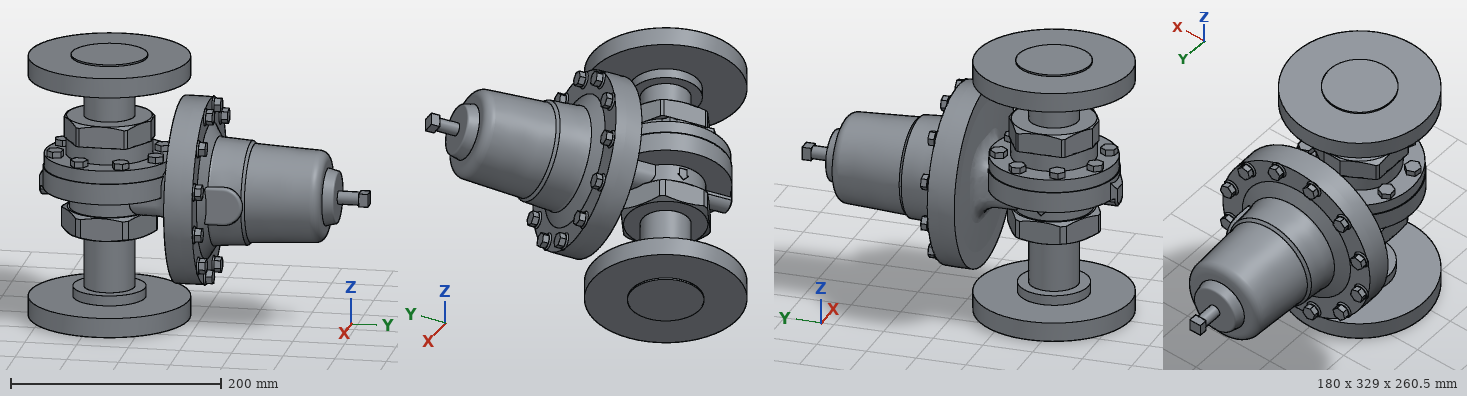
import cadquery as cq
import math


overall_length = 329
overall_height = 260.5
half_height = overall_height / 2
raised_face_height = 1.5
raised_face_radius = 36.5
pipe_flange_diameter = 155.0
pipe_flange_radius = pipe_flange_diameter / 2
pipe_flange_thickness = 19.0
pipe_hub_radius = 35.0
pipe_hub_height = 10.0
pipe_radius = 24.5

upper_nut_top = 69.8
upper_nut_bottom = 48.7
cover_top = 32.3
cover_joint = 19.5
body_rim_bottom = -1.0
lower_nut_top = -20.7
lower_nut_bottom = -44.0
cover_boss_radius = 41.5
cover_radius = 62.2
body_rim_radius = 63.2
body_radius = 38.2

nut_flats = 82.5
lower_nut_corner_radius = 46.0
upper_nut_corner_radius = 46.7
nut_chamfer_height = 2.5
nut_chamfer_width = 6.0
upper_nut_half_depth = 42.0

arrow_proud = 0.3
arrow_top = -3.5
arrow_neck = -10.5
arrow_tip = -16.0
arrow_shaft_half = 4.0
arrow_head_half = 5.5

lug_front = -66.5
lug_back = -33.0
lug_bevel_depth = 1.5
lug_bevel_width = 2.5
lug_half_width = 10.2
lug_top = 11.2
lug_round_radius = 11.0
lug_round_center = -0.5
lug_skirt_half_width = 14.5
lug_skirt_top = 17.5
lug_skirt_back = -59.2
lug_skirt_edge = -61.2

neck_half_width = 29.0
neck_half_height = 22.7
neck_corner_radius = 13.2
neck_fillet = 18.5
root_clearance = 0.5

housing_face_apex = 66.5
housing_front = 69.5
housing_joint = 85.5
housing_back = 96.8
bell_base = 104.7
bell_start = 106.5
bell_step_bottom = 136.5
bell_step_top = 139.5
bell_end = 211.0
collar_end = 222.0
square_start = 242.5
stem_end = overall_length - pipe_flange_radius

housing_radius = 90.0
housing_back_radius = 89.5
housing_face_radius = 73.7
bell_foot_radius = 65.8
bell_base_radius = 52.5
bell_start_radius = 52.0
bell_step_outer_radius = 50.0
bell_step_inner_radius = 47.5
bell_end_radius = 43.8
bell_end_fillet = 9.5
collar_base_radius = 27.5
collar_end_radius = 25.0
collar_fillet = 2.0
stem_square = 13.0
stem_radius = stem_square / 2

bell_pad_face = 54.0
bell_pad_radius = 18.5
bell_pad_center = 119.8
bell_pad_fillet = 2.5

cover_bolt_corners = 16.5
housing_bolt_corners = 14.8
cover_bolt_height = 6.0
cover_bolt_count = 8
cover_bolt_circle = 52.5
housing_bolt_count = 12
housing_bolt_circle = 82.0
seat_height = 1.5
seat_base_radius = 8.5
seat_top_radius = 7.2


def cylinder_z(radius, bottom, top):
    return cq.Workplane("XY").workplane(offset=bottom).circle(radius).extrude(top - bottom)


def cone_z(bottom_radius, bottom, top_radius, top):
    profile = [(0, bottom), (bottom_radius, bottom), (top_radius, top), (0, top)]
    return cq.Workplane("XZ").polyline(profile).close().revolve(360, (0, 0), (0, 1))


def turn_to_y(solid):
    """Tip a solid built along +Z so that it points along +Y."""
    return solid.rotate((0, 0, 0), (1, 0, 0), -90)


def pipe_end():
    """Upper pipe flange with its raised face and hub."""
    flange_top = half_height - raised_face_height
    flange_bottom = flange_top - pipe_flange_thickness
    end = cylinder_z(pipe_flange_radius, flange_bottom, flange_top)
    end = end.union(cylinder_z(raised_face_radius, flange_bottom, half_height))
    return end.union(cylinder_z(pipe_hub_radius, flange_bottom - pipe_hub_height, flange_top))


def union_nut(bottom, top, corner_radius, chamfer_bottom):
    """Hexagon with corners toward -Y and +Y, turned to the corner radius and chamfered on top."""
    corners = nut_flats / math.cos(math.pi / 6)
    nut = cq.Workplane("XY").workplane(offset=bottom).polygon(6, corners).extrude(top - bottom)
    nut = nut.rotate((0, 0, 0), (0, 0, 1), 30)
    blank = cylinder_z(corner_radius, bottom, top)
    blank = blank.faces(">Z").chamfer(nut_chamfer_height, nut_chamfer_width)
    if chamfer_bottom:
        blank = blank.faces("<Z").chamfer(nut_chamfer_height, nut_chamfer_width)
    return nut.intersect(blank)


def upper_nut():
    """Upper nut, cut flat across its -Y and +Y corners."""
    nut = union_nut(upper_nut_bottom, upper_nut_top, upper_nut_corner_radius, False)
    trim = cq.Workplane("XY").box(2 * nut_flats, 2 * upper_nut_half_depth, overall_height)
    return nut.intersect(trim)


def ring_around_z(solid, count, circle_radius):
    """Copies of a solid on a circle, half a pitch away from the axes."""
    pitch = 360 / count
    shifted = solid.translate((circle_radius, 0, 0))
    ring = cq.Workplane("XY")
    for i in range(count):
        ring = ring.add(shifted.rotate((0, 0, 0), (0, 0, 1), (i + 0.5) * pitch))
    return ring.combine()


def hex_head(corners, bottom, top):
    return cq.Workplane("XY").workplane(offset=bottom).polygon(6, corners).extrude(top - bottom)


def cover_bolts():
    """Hex heads with a corner pointing away from the pipe axis."""
    head = hex_head(cover_bolt_corners, cover_top, cover_top + cover_bolt_height)
    return ring_around_z(head, cover_bolt_count, cover_bolt_circle)


def housing_bolts():
    """Hex heads with a flat facing outward, each on a conical seat, built along +Z."""
    seat_top = housing_back + seat_height
    seat = cone_z(seat_base_radius, housing_back, seat_top_radius, seat_top)
    head = hex_head(housing_bolt_corners, seat_top, bell_base).rotate((0, 0, 0), (0, 0, 1), 30)
    return ring_around_z(seat.union(head), housing_bolt_count, housing_bolt_circle)


def valve_body():
    """Body, cover and their bolts around the pipe axis."""
    body = cylinder_z(body_radius, lower_nut_top, cover_joint)
    body = body.union(cylinder_z(body_rim_radius, body_rim_bottom, cover_joint))
    body = body.union(cylinder_z(cover_radius, cover_joint, cover_top))
    body = body.union(cylinder_z(cover_boss_radius, cover_joint, upper_nut_bottom))
    return body.union(cover_bolts())


def flow_arrow():
    """Arrow pointing down, standing slightly proud of the body."""
    outline = [
        (-arrow_shaft_half, arrow_top),
        (arrow_shaft_half, arrow_top),
        (arrow_shaft_half, arrow_neck),
        (arrow_head_half, arrow_neck),
        (0, arrow_tip),
        (-arrow_head_half, arrow_neck),
        (-arrow_shaft_half, arrow_neck),
    ]
    arrow = cq.Workplane("YZ").polyline(outline).close().extrude(-nut_flats)
    return arrow.intersect(cylinder_z(body_radius + arrow_proud, lower_nut_top, cover_joint))


def lug_outline(plane, inset):
    """Add the lug outline, flat on top and sides and round below, drawn in by an inset."""
    half_width = lug_half_width - inset
    radius = lug_round_radius - inset
    top = lug_top - inset
    side_bottom = lug_round_center - math.sqrt(radius**2 - half_width**2)
    return (
        plane.moveTo(-half_width, side_bottom)
        .lineTo(-half_width, top)
        .lineTo(half_width, top)
        .lineTo(half_width, side_bottom)
        .threePointArc((0, lug_round_center - radius), (-half_width, side_bottom))
        .close()
    )


def plug_lug():
    """Flat-sided lug with a bevelled front, and a bevelled skirt on the body rim."""
    bevel_start = lug_front + lug_bevel_depth
    lug = lug_outline(cq.Workplane("XZ", origin=(0, lug_back, 0)), 0)
    lug = lug.extrude(lug_back - bevel_start)
    bevel = lug_outline(cq.Workplane("XZ", origin=(0, bevel_start, 0)), 0)
    bevel = lug_outline(bevel.workplane(offset=lug_bevel_depth), lug_bevel_width)
    bevel = bevel.loft(ruled=True)
    skirt_height = lug_skirt_top - body_rim_bottom
    front_height = lug_top - body_rim_bottom
    skirt = (
        cq.Workplane("XZ", origin=(0, lug_skirt_edge, body_rim_bottom))
        .center(0, skirt_height / 2)
        .rect(2 * lug_skirt_half_width, skirt_height)
        .workplane(offset=lug_skirt_edge - bevel_start)
        .center(0, (front_height - skirt_height) / 2)
        .rect(2 * lug_half_width, front_height)
        .loft(ruled=True)
    )
    skirt_root = (
        cq.Workplane("XZ", origin=(0, lug_skirt_back, body_rim_bottom))
        .center(0, skirt_height / 2)
        .rect(2 * lug_skirt_half_width, skirt_height)
        .extrude(lug_skirt_back - lug_skirt_edge)
    )
    return lug.union(bevel).union(skirt).union(skirt_root)


def diaphragm_housing():
    """Housing disc, its shallow conical face and the filleted neck, built along +Z."""
    profile = [
        (0, housing_face_apex),
        (housing_face_radius, housing_front),
        (housing_radius, housing_front),
        (housing_radius, housing_joint),
        (housing_back_radius, housing_back),
        (0, housing_back),
    ]
    housing = cq.Workplane("XZ").polyline(profile).close().revolve(360, (0, 0), (0, 1))
    neck = (
        cq.Workplane("XY")
        .rect(2 * neck_half_width, 2 * neck_half_height)
        .extrude(housing_front)
        .edges("|Z")
        .fillet(neck_corner_radius)
    )
    root_zone = cq.selectors.BoxSelector(
        (-housing_radius, -housing_radius, housing_face_apex),
        (housing_radius, housing_radius, housing_front - root_clearance),
    )
    return housing.union(neck).edges(root_zone).fillet(neck_fillet)


def spring_bonnet():
    """Bell, collar and adjusting stem, built along +Z."""
    profile = [
        (0, housing_back),
        (bell_foot_radius, housing_back),
        (bell_base_radius, bell_base),
        (bell_start_radius, bell_start),
        (bell_step_outer_radius, bell_step_bottom),
        (bell_step_inner_radius, bell_step_top),
        (bell_end_radius, bell_end),
        (0, bell_end),
    ]
    bell = cq.Workplane("XZ").polyline(profile).close().revolve(360, (0, 0), (0, 1))
    bell = bell.faces(">Z").edges().fillet(bell_end_fillet)
    collar = cone_z(collar_base_radius, bell_end, collar_end_radius, collar_end)
    collar = collar.faces(">Z").edges().fillet(collar_fillet)
    stem = cylinder_z(stem_radius, bell_end, square_start)
    square = cq.Workplane("XY").workplane(offset=square_start).rect(stem_square, stem_square)
    square = square.extrude(stem_end - square_start)
    return bell.union(collar).union(stem).union(square)


def bell_pad():
    """Round-ended pad on the +X side of the bell, running down to the housing."""
    pad = (
        cq.Workplane("YZ")
        .moveTo(housing_back, -bell_pad_radius)
        .lineTo(bell_pad_center, -bell_pad_radius)
        .threePointArc((bell_pad_center + bell_pad_radius, 0), (bell_pad_center, bell_pad_radius))
        .lineTo(housing_back, bell_pad_radius)
        .close()
        .extrude(bell_pad_face)
    )
    return pad.faces(">X").edges("not <Y").fillet(bell_pad_fillet)


bonnet = diaphragm_housing().union(spring_bonnet()).union(housing_bolts())

result = (
    cylinder_z(pipe_radius, -half_height, half_height)
    .union(pipe_end())
    .union(pipe_end().mirror("XY"))
    .union(union_nut(lower_nut_bottom, lower_nut_top, lower_nut_corner_radius, True))
    .union(valve_body())
    .union(upper_nut())
    .union(turn_to_y(bonnet))
    .union(bell_pad())
    .union(flow_arrow())
    .union(plug_lug())
)